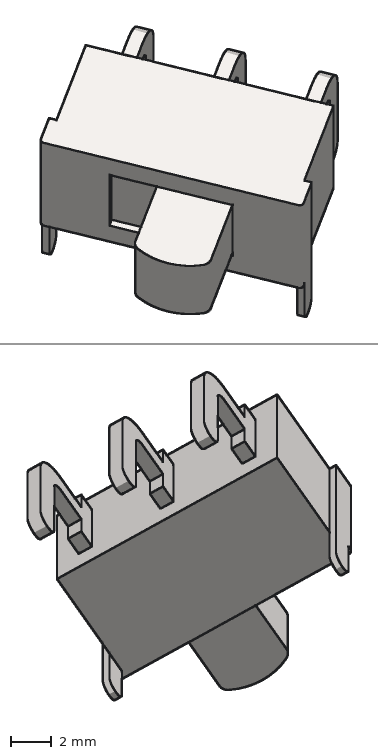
import cadquery as cq
import math


body_width = 12.66
body_depth = 6.37
body_height = 6.6
mid_height = body_height / 2

slot_width = 6.3
slot_height = 4.04
slot_depth = 0.38

knob_size = 3.86
knob_end_gap = 0.04
knob_reach = 4.29
knob_crown_radius = 3.6
knob_corner_radius = 0.5
knob_center_x = slot_width / 2 - knob_end_gap - knob_size / 2

tab_thickness = 0.38
tab_depth = 1.54
tab_edge_radius = 0.2
tab_pin_width = 1.17
tab_pin_length = 3.08

terminal_count = 3
terminal_pitch = 4.7
terminal_width = 0.76
terminal_leg = 1.27
terminal_reach = 4.74
terminal_drop = 3.13
bend_outer_radius = 1.5 * terminal_leg
bend_inner_radius = bend_outer_radius - terminal_leg
root_length = 0.98
root_height = 3.84


def make_housing():
    housing = cq.Workplane("XY").box(body_width, body_depth, body_height, centered=(True, False, False))
    slot = (
        cq.Workplane("XY")
        .box(slot_width, slot_depth, slot_height, centered=(True, False, True))
        .translate((0, 0, mid_height))
    )
    return housing.cut(slot)


def make_knob():
    """Square bar from the slot floor, ending in a crowned tip with rounded side edges."""
    half = knob_size / 2
    crown_drop = knob_crown_radius - math.sqrt(knob_crown_radius**2 - half**2)
    shoulder_y = crown_drop - knob_reach
    return (
        cq.Workplane("XY")
        .moveTo(-half, slot_depth)
        .lineTo(-half, shoulder_y)
        .threePointArc((0, -knob_reach), (half, shoulder_y))
        .lineTo(half, slot_depth)
        .close()
        .extrude(knob_size)
        .edges("|Z")
        .edges("<Y")
        .fillet(knob_corner_radius)
        .translate((knob_center_x, 0, mid_height - half))
    )


def make_tab():
    """Tab on the +X end: a plate as tall as the housing with a round-ended pin below it."""
    plate = (
        cq.Workplane("XY")
        .box(tab_thickness, tab_depth, body_height, centered=False)
        .edges("|Z and >X and <Y")
        .fillet(tab_edge_radius)
    )
    tip_radius = tab_pin_width / 2
    pin_front = tab_depth - tab_pin_width
    tip_start = tip_radius - tab_pin_length
    pin = (
        cq.Workplane("YZ")
        .moveTo(pin_front, 0)
        .lineTo(pin_front, tip_start)
        .threePointArc((pin_front + tip_radius, -tab_pin_length), (tab_depth, tip_start))
        .lineTo(tab_depth, 0)
        .close()
        .extrude(tab_thickness)
    )
    return plate.union(pin).translate((body_width / 2, 0, 0))


def make_terminal():
    """Flat terminal: a tall root at the housing, then a leg bent down to a round tip."""
    root_end = body_depth + root_length
    leg_outer = body_depth + terminal_reach
    leg_inner = leg_outer - terminal_leg
    leg_top = mid_height + terminal_leg / 2
    leg_bottom = mid_height - terminal_leg / 2
    bend_y = leg_outer - bend_outer_radius
    bend_z = leg_top - bend_outer_radius
    tip_radius = terminal_leg / 2
    tip_start = tip_radius - terminal_drop
    diagonal = math.sqrt(0.5)
    outer_bend_middle = (bend_y + bend_outer_radius * diagonal, bend_z + bend_outer_radius * diagonal)
    inner_bend_middle = (bend_y + bend_inner_radius * diagonal, bend_z + bend_inner_radius * diagonal)
    return (
        cq.Workplane("YZ")
        .moveTo(body_depth, mid_height + root_height / 2)
        .lineTo(root_end, mid_height + root_height / 2)
        .lineTo(root_end, leg_top)
        .lineTo(bend_y, leg_top)
        .threePointArc(outer_bend_middle, (leg_outer, bend_z))
        .lineTo(leg_outer, tip_start)
        .threePointArc((leg_outer - tip_radius, -terminal_drop), (leg_inner, tip_start))
        .lineTo(leg_inner, bend_z)
        .threePointArc(inner_bend_middle, (bend_y, leg_bottom))
        .lineTo(root_end, leg_bottom)
        .lineTo(root_end, mid_height - root_height / 2)
        .lineTo(body_depth, mid_height - root_height / 2)
        .close()
        .extrude(terminal_width / 2, both=True)
    )


switch = make_housing().union(make_knob())

tab = make_tab()
switch = switch.union(tab).union(tab.mirror("YZ"))

terminal = make_terminal()
for index in range(terminal_count):
    terminal_x = (index - (terminal_count - 1) / 2) * terminal_pitch
    switch = switch.union(terminal.translate((terminal_x, 0, 0)))

result = switch